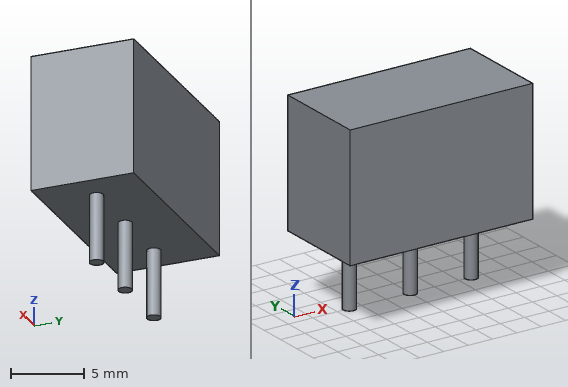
import cadquery as cq

housing_length = 15.0
housing_width = 7.6
housing_height = 10.0

pin_count = 3
pin_pitch = 5.0
pin_diameter = 0.99
pin_length = 5.0


def make_housing():
    """Rectangular block with its underside on Z = 0."""
    return cq.Workplane("XY").box(
        housing_length, housing_width, housing_height, centered=(True, True, False)
    )


def make_pin(x):
    """Round pin hanging down from the underside of the housing."""
    return cq.Workplane("XY").center(x, 0).circle(pin_diameter / 2).extrude(-pin_length)


housing = make_housing()

first_pin_x = -pin_pitch * (pin_count - 1) / 2
pins = [make_pin(first_pin_x + index * pin_pitch) for index in range(pin_count)]

result = cq.Compound.makeCompound([housing.val(), *[pin.val() for pin in pins]])